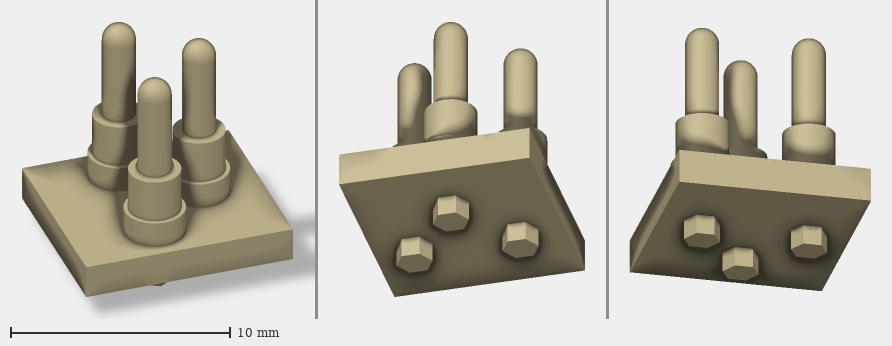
import cadquery as cq

plate_width = 9.0
plate_depth = 10.0
plate_thickness = 1.61

pin_half_spacing = 2.5
front_row_y = -1.0
rear_row_y = 2.0
pin_positions = [
    (-pin_half_spacing, front_row_y),
    (pin_half_spacing, front_row_y),
    (0, rear_row_y),
]

overall_height = 10.65
foot_height = 0.93
foot_across_corners = 1.69
flange_diameter = 2.86
flange_height = 1.26
barrel_diameter = 2.44
barrel_height = 2.07
plunger_diameter = 1.57
plunger_length = overall_height - foot_height - plate_thickness - flange_height - barrel_height


def make_plate():
    return cq.Workplane("XY").box(
        plate_width, plate_depth, plate_thickness, centered=(True, True, False)
    )


def make_plunger():
    """Cylinder whose free end is a full hemisphere."""
    radius = plunger_diameter / 2
    shaft_length = plunger_length - radius
    return (
        cq.Workplane("XZ")
        .lineTo(radius, 0)
        .lineTo(radius, shaft_length)
        .radiusArc((0, plunger_length), -radius)
        .close()
        .revolve(360, (0, 0), (0, 1))
    )


def make_pin():
    """Stepped pin above the plate with a hexagonal foot below it."""
    flange_top = plate_thickness + flange_height
    barrel_top = flange_top + barrel_height
    foot = cq.Workplane("XY").polygon(6, foot_across_corners).extrude(-foot_height)
    flange = (
        cq.Workplane("XY")
        .workplane(offset=plate_thickness)
        .circle(flange_diameter / 2)
        .extrude(flange_height)
    )
    barrel = (
        cq.Workplane("XY")
        .workplane(offset=flange_top)
        .circle(barrel_diameter / 2)
        .extrude(barrel_height)
    )
    plunger = make_plunger().translate((0, 0, barrel_top))
    return foot, flange.union(barrel).union(plunger)


result = make_plate()
for x, y in pin_positions:
    for section in make_pin():
        result = result.union(section.translate((x, y, 0)))